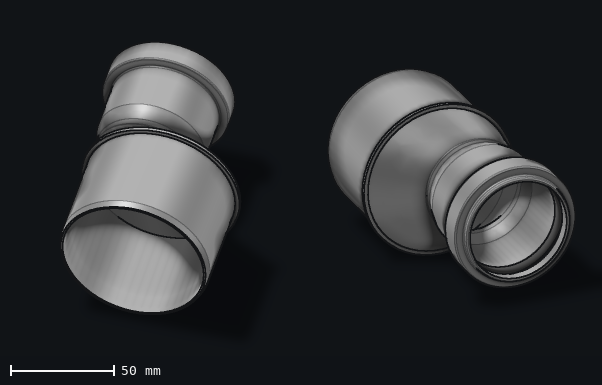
import cadquery as cq


spigot_radius = 75.2 / 2
spigot_wall = 2.1
spigot_bore_radius = spigot_radius - spigot_wall
spigot_length = 50.0
spigot_tip_length = 3.5
spigot_tip_taper = 1.1
spigot_tip_radius = spigot_radius - spigot_tip_taper

collar_radius = 79.5 / 2
collar_thickness = 2.0
collar_end = spigot_length + collar_thickness

cone_foot_excess = 0.03
cone_foot_radius = spigot_radius + cone_foot_excess

neck_radius = 50.3 / 2
neck_bore_radius = neck_radius - spigot_wall
neck_start = 66.0
neck_end = 69.7

socket_wall = 1.9
socket_radius = 54.6 / 2
socket_start = 77.7
lip_radius = 54.9 / 2
overall_length = 120.0

ring_radius = 64.1 / 2
ring_start = 104.2
ring_end = 116.3
flank_lean = 0.35

edge_round = 0.8
neck_round = 1.0
match_tolerance = 0.01

socket_offset = spigot_radius - neck_radius


def revolve_about_y(points, axis_x):
    """Solid of revolution about the line X = axis_x, from (radius, y) points."""
    first_y = points[0][1]
    last_y = points[-1][1]
    outline = [(0, first_y), *points, (0, last_y)]
    profile = cq.Workplane("XY").polyline(outline).close()
    return profile.revolve(360, (0, 0, 0), (0, 1, 0)).translate((axis_x, 0, 0))


def round_circles(body, radius, circles):
    """Round the circular edges of body that match the given (radius, y) pairs."""

    def matches(edge):
        if edge.geomType() != "CIRCLE":
            return False
        return any(
            abs(edge.radius() - circle_radius) < match_tolerance
            and abs(edge.arcCenter().y - circle_y) < match_tolerance
            for circle_radius, circle_y in circles
        )

    edges = [edge for edge in body.edges().vals() if matches(edge)]
    return body.newObject(edges).fillet(radius)


def oblique_cone(large_radius, small_radius):
    """Cone from the collar to the neck, its two end circles on offset axes."""
    large_circle = cq.Wire.makeCircle(large_radius, cq.Vector(0, collar_end, 0), cq.Vector(0, 1, 0))
    small_centre = cq.Vector(-socket_offset, neck_start, 0)
    small_circle = cq.Wire.makeCircle(small_radius, small_centre, cq.Vector(0, 1, 0))
    return cq.Workplane(cq.Solid.makeLoft([large_circle, small_circle], True))


def outer_body():
    """Reducer without its bore: spigot, collar, cone, neck and ringed socket."""
    spigot = revolve_about_y(
        [
            (spigot_tip_radius, 0),
            (spigot_radius, spigot_tip_length),
            (spigot_radius, spigot_length),
            (collar_radius, spigot_length),
            (collar_radius, collar_end),
        ],
        0,
    )
    ring_corners = [
        (socket_radius, ring_start - flank_lean),
        (ring_radius, ring_start),
        (ring_radius, ring_end),
        (lip_radius, ring_end + flank_lean),
    ]
    lip_corner = (lip_radius, overall_length)
    socket = revolve_about_y(
        [
            (neck_radius, neck_start),
            (neck_radius, neck_end),
            (socket_radius, socket_start),
            *ring_corners,
            lip_corner,
        ],
        -socket_offset,
    )
    socket = round_circles(socket, edge_round, ring_corners + [lip_corner])
    body = spigot.union(oblique_cone(cone_foot_radius, neck_radius)).union(socket)
    return round_circles(body, neck_round, [(neck_radius, neck_start)])


def inner_cavity():
    """Through bore from the spigot mouth to the socket mouth, with the seal groove."""
    spigot_bore = revolve_about_y([(spigot_bore_radius, 0), (spigot_bore_radius, collar_end)], 0)
    groove_radius = ring_radius - socket_wall
    groove_start = ring_start + socket_wall
    groove_end = ring_end - socket_wall
    socket_bore = revolve_about_y(
        [
            (neck_bore_radius, neck_start),
            (neck_bore_radius, neck_end),
            (socket_radius - socket_wall, socket_start),
            (socket_radius - socket_wall, groove_start),
            (groove_radius, groove_start),
            (groove_radius, groove_end),
            (lip_radius - socket_wall, groove_end),
            (lip_radius - socket_wall, overall_length),
        ],
        -socket_offset,
    )
    return spigot_bore.union(oblique_cone(spigot_bore_radius, neck_bore_radius)).union(socket_bore)


result = outer_body().cut(inner_cavity()).solids()